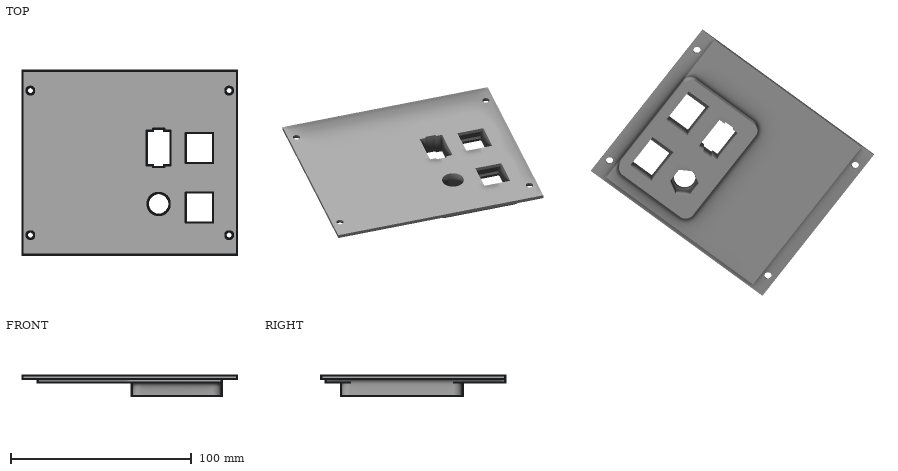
import cadquery as cq
import math

plate_length = 119.0
plate_width = 102.0
plate_thickness = 2.0

backing_length = 102.0
backing_width = 99.5
backing_thickness = 2.0

block_length = 50.0
block_width = 67.5
block_height = 7.5
block_corner_radius = 5.0
block_front_y = 11.0

screw_diameter = 4.0
screw_spacing_x = 110.0
screw_spacing_y = 80.0

round_diameter = 12.0
nut_across_flats = 14.0
hexagon_sides = 6
hexagon_half_angle = 180 / hexagon_sides
round_center = (75.5, 28.25)

jack_length = 15.0
jack_width = 16.5
jack_x = 98.0
jack_ys = (26.25, 59.25)
jack_rear_extension = 4.0
jack_undercut_extension = 6.0
jack_lip_thickness = 1.5

port_center = (75.5, 59.25)
port_length = 13.0
port_width = 19.0
tab_length = 6.0
port_tab_width = 21.0

total_height = plate_thickness + backing_thickness + block_height
backing_x = (plate_length - backing_length) / 2
backing_top_z = -plate_thickness
block_top_z = backing_top_z - backing_thickness
block_x = backing_x + backing_length - block_length


def box_below(corner_x, corner_y, top_z, length, width, height):
    """Box with its top face at top_z and its low X, low Y corner given."""
    return (
        cq.Workplane("XY", origin=(corner_x, corner_y, top_z))
        .rect(length, width, centered=False)
        .extrude(-height)
    )


def opening(center, length, width):
    """Rectangular cutter through the whole part."""
    return cq.Workplane("XY").center(*center).rect(length, width).extrude(-total_height)


def make_body():
    """Plate, backing layer and block joined together."""
    backing_y = plate_width - backing_width
    plate = box_below(0, 0, 0, plate_length, plate_width, plate_thickness)
    backing = box_below(backing_x, backing_y, backing_top_z, backing_length, backing_width, backing_thickness)
    block = box_below(block_x, block_front_y, block_top_z, block_length, block_width, block_height)
    block = block.edges("|Z").fillet(block_corner_radius)
    return plate.union(backing).union(block)


def screw_holes():
    """Cutters for the four corner screw holes."""
    return (
        cq.Workplane("XY")
        .center(plate_length / 2, plate_width / 2)
        .rect(screw_spacing_x, screw_spacing_y, forConstruction=True)
        .vertices()
        .circle(screw_diameter / 2)
        .extrude(-total_height)
    )


def round_opening():
    """Round hole through plate and backing, hexagonal pocket through the block."""
    nut_across_corners = nut_across_flats / math.cos(math.radians(hexagon_half_angle))
    hole = cq.Workplane("XY").center(*round_center).circle(round_diameter / 2).extrude(-total_height)
    nut_pocket = (
        cq.Workplane("XY", origin=(*round_center, block_top_z))
        .transformed(rotate=(0, 0, hexagon_half_angle))
        .polygon(hexagon_sides, nut_across_corners)
        .extrude(-block_height)
    )
    return hole.union(nut_pocket)


def jack_opening(center_y):
    """Front opening, rear opening and the undercut between plate and lip."""
    corner_x = jack_x - jack_length / 2
    corner_y = center_y - jack_width / 2
    rear_width = jack_width + jack_rear_extension
    undercut_width = jack_width + jack_undercut_extension
    rear_depth = total_height - plate_thickness
    undercut_depth = rear_depth - jack_lip_thickness
    front = box_below(corner_x, corner_y, 0, jack_length, jack_width, plate_thickness)
    rear = box_below(corner_x, corner_y, backing_top_z, jack_length, rear_width, rear_depth)
    undercut = box_below(corner_x, corner_y, backing_top_z, jack_length, undercut_width, undercut_depth)
    return front.union(rear).union(undercut)


def port_opening():
    """Wide rectangle with a narrow tab at each Y end."""
    return opening(port_center, port_length, port_width).union(opening(port_center, tab_length, port_tab_width))


result = make_body().cut(screw_holes()).cut(round_opening()).cut(port_opening())
for jack_y in jack_ys:
    result = result.cut(jack_opening(jack_y))